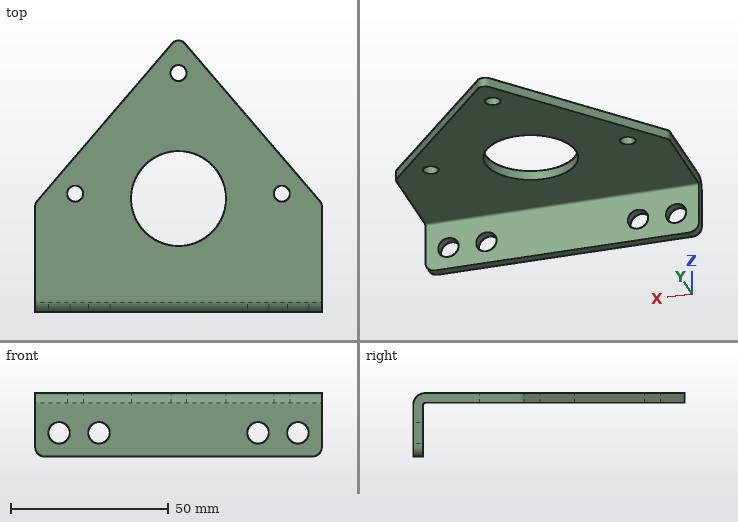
import cadquery as cq
import math

width = 91.4
depth = 86.6
height = 20.3
thickness = 3.2
bend_inner_radius = 0.7
bend_outer_radius = bend_inner_radius + thickness

tip_angle = math.radians(40.6)
tip_radius = 2.6
shoulder_radius = 2.6
sharp_tip_y = depth + tip_radius * (1 / math.sin(tip_angle) - 1)
shoulder_y = sharp_tip_y - width / 2 / math.tan(tip_angle)
flange_corner_radius = 3.2

bore_diameter = 30.2
bore_y = 36.2
plate_hole_diameter = 5.0
tip_hole_y = 76.1
side_hole_x = 32.9
side_hole_y = 37.75
flange_hole_diameter = 6.8
flange_hole_xs = (25.3, 38.0)
flange_hole_z = 7.6


def bent_sheet():
    """L-shaped sheet with a rounded bend, extruded along the width."""
    profile = (
        cq.Workplane("YZ")
        .moveTo(0, 0)
        .lineTo(thickness, 0)
        .lineTo(thickness, height - bend_outer_radius)
        .radiusArc((bend_outer_radius, height - thickness), bend_inner_radius)
        .lineTo(depth, height - thickness)
        .lineTo(depth, height)
        .lineTo(bend_outer_radius, height)
        .radiusArc((0, height - bend_outer_radius), -bend_outer_radius)
        .close()
    )
    return profile.extrude(width / 2, both=True)


def plan_outline():
    """Full-height prism of the plate's pointed outline."""
    prism = (
        cq.Workplane("XY")
        .polyline([
            (-width / 2, 0),
            (width / 2, 0),
            (width / 2, shoulder_y),
            (0, sharp_tip_y),
            (-width / 2, shoulder_y),
        ])
        .close()
        .extrude(height)
    )
    prism = prism.edges("|Z and >Y").fillet(tip_radius)
    shoulder_zone = cq.selectors.BoxSelector(
        (-width, shoulder_y - 0.9, -height), (width, shoulder_y + 0.9, 2 * height)
    )
    return prism.edges("|Z").edges(shoulder_zone).fillet(shoulder_radius)


def plate_holes():
    """Cutters for the central bore and the three small plate holes."""
    bore = cq.Workplane("XY").center(0, bore_y).circle(bore_diameter / 2).extrude(height)
    small_holes = (
        cq.Workplane("XY")
        .pushPoints([(0, tip_hole_y), (-side_hole_x, side_hole_y), (side_hole_x, side_hole_y)])
        .circle(plate_hole_diameter / 2)
        .extrude(height)
    )
    return bore.union(small_holes)


def flange_holes():
    """Cutters for the mirrored pairs of holes through the flange."""
    centers = [(side * x, flange_hole_z) for side in (-1, 1) for x in flange_hole_xs]
    return (
        cq.Workplane("XZ")
        .pushPoints(centers)
        .circle(flange_hole_diameter / 2)
        .extrude(-thickness)
    )


bracket = bent_sheet().edges("|Y and <Z").fillet(flange_corner_radius)
bracket = bracket.intersect(plan_outline())
result = bracket.cut(plate_holes()).cut(flange_holes())